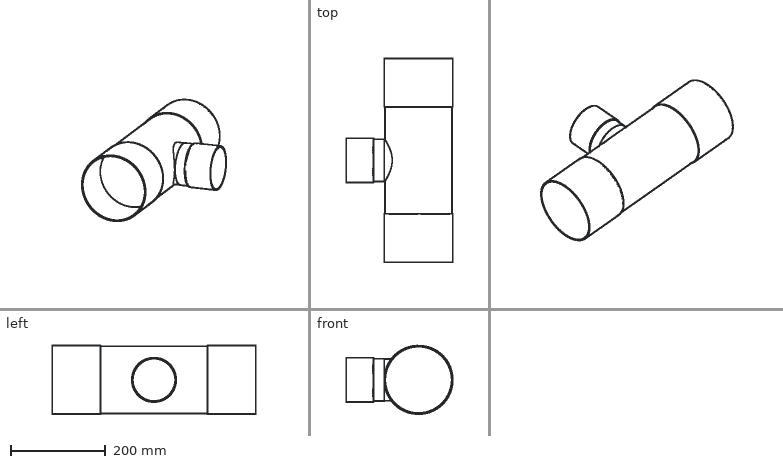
import cadquery as cq

RUN_LENGTH = 430.0
RUN_BODY_DIAMETER = 142.0
RUN_SOCKET_DIAMETER = 145.0
RUN_BORE_DIAMETER = 139.7
RUN_SOCKET_LENGTH = 103.0

BRANCH_REACH = 152.5
BRANCH_NECK_DIAMETER = 90.0
BRANCH_ROOT_DIAMETER = 89.0
BRANCH_ROOT_REACH = RUN_SOCKET_DIAMETER / 2
BRANCH_SOCKET_DIAMETER = 94.0
BRANCH_BORE_DIAMETER = 89.0
BRANCH_SOCKET_LENGTH = 58.5

SOCKET_CHAMFER = 1.0
BORE_FLOOR_SETBACK = 2.0


def cylinder(plane, diameter, length):
    """Solid cylinder along the plane's normal; a negative length runs backwards."""
    return cq.Workplane(plane).circle(diameter / 2).extrude(length)


def add_socket(part, mouth, outer_diameter, length):
    """Add a collar running inwards from its mouth, chamfered at its inner end."""
    collar = cylinder(mouth, outer_diameter, -length)
    inner_end = cq.selectors.DirectionMinMaxSelector(mouth.zDir, False)
    return part.union(collar.faces(inner_end).chamfer(SOCKET_CHAMFER))


def cut_bore(part, mouth, diameter, socket_length):
    """Hollow a socket from its mouth with a flat-floored blind bore."""
    return part.cut(cylinder(mouth, diameter, -(socket_length - BORE_FLOOR_SETBACK)))


run_mouths = [
    cq.Plane(origin=(0, side * RUN_LENGTH / 2, 0), xDir=(1, 0, 0), normal=(0, side, 0))
    for side in (-1, 1)
]
branch_start = cq.Plane(origin=(0, 0, 0), xDir=(0, 1, 0), normal=(-1, 0, 0))
branch_mouth = cq.Plane(origin=(-BRANCH_REACH, 0, 0), xDir=(0, 1, 0), normal=(-1, 0, 0))

run_body = cylinder(run_mouths[0], RUN_BODY_DIAMETER, -RUN_LENGTH)
branch_root = cylinder(branch_start, BRANCH_ROOT_DIAMETER, BRANCH_ROOT_REACH)
branch_neck = cylinder(branch_mouth, BRANCH_NECK_DIAMETER, -(BRANCH_REACH - BRANCH_ROOT_REACH))
result = run_body.union(branch_root).union(branch_neck)

for run_mouth in run_mouths:
    result = add_socket(result, run_mouth, RUN_SOCKET_DIAMETER, RUN_SOCKET_LENGTH)
    result = cut_bore(result, run_mouth, RUN_BORE_DIAMETER, RUN_SOCKET_LENGTH)
result = add_socket(result, branch_mouth, BRANCH_SOCKET_DIAMETER, BRANCH_SOCKET_LENGTH)
result = cut_bore(result, branch_mouth, BRANCH_BORE_DIAMETER, BRANCH_SOCKET_LENGTH)